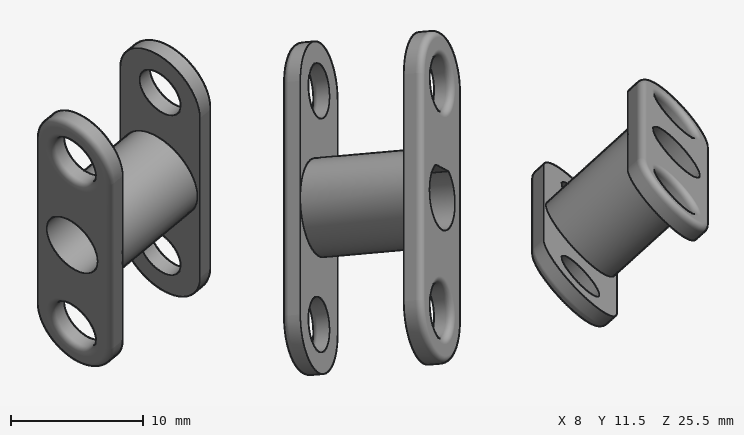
import cadquery as cq

plate_height = 25.5
total_depth = 11.5
plate_thickness = 1.5
edge_radius = 0.5

narrow_plate_width = 7.5
narrow_plate_hole = 4.2
wide_plate_width = 8.0
wide_plate_hole = 4.1

barrel_diameter = narrow_plate_width
bore_diameter = 5.1
bore_flat_height = 2.22

outer_face = total_depth / 2
inner_face = outer_face - plate_thickness


def cylinder_along_y(diameter, y_start, length):
    """Cylinder on the Y axis, running from y_start towards +Y."""
    return cq.Workplane("XZ", origin=(0, y_start, 0)).circle(diameter / 2).extrude(-length)


def link_plate(width, hole_diameter):
    """Plate with round ends and concentric end holes, rounded on its -Y face."""
    hole_height = (plate_height - width) / 2
    plate = (
        cq.Workplane("XZ", origin=(0, -outer_face, 0))
        .slot2D(plate_height, width, 90)
        .extrude(-plate_thickness)
    )
    holes = (
        cq.Workplane("XZ", origin=(0, -outer_face, 0))
        .pushPoints([(0, hole_height), (0, -hole_height)])
        .circle(hole_diameter / 2)
        .extrude(-plate_thickness)
    )
    return plate.cut(holes).faces("<Y").edges().fillet(edge_radius)


def bore():
    """Through bore, with the top sliver left solid inside the wide plate."""
    round_bore = cylinder_along_y(bore_diameter, -outer_face, total_depth)
    above_flat = (
        cq.Workplane("XY", origin=(0, inner_face, bore_flat_height))
        .box(bore_diameter, plate_thickness, bore_diameter, centered=(True, False, False))
    )
    return round_bore.cut(above_flat)


narrow_plate = link_plate(narrow_plate_width, narrow_plate_hole)
wide_plate = link_plate(wide_plate_width, wide_plate_hole).rotate((0, 0, 0), (0, 0, 1), 180)
barrel = cylinder_along_y(barrel_diameter, -inner_face, 2 * inner_face)

result = narrow_plate.union(barrel).union(wide_plate).cut(bore())